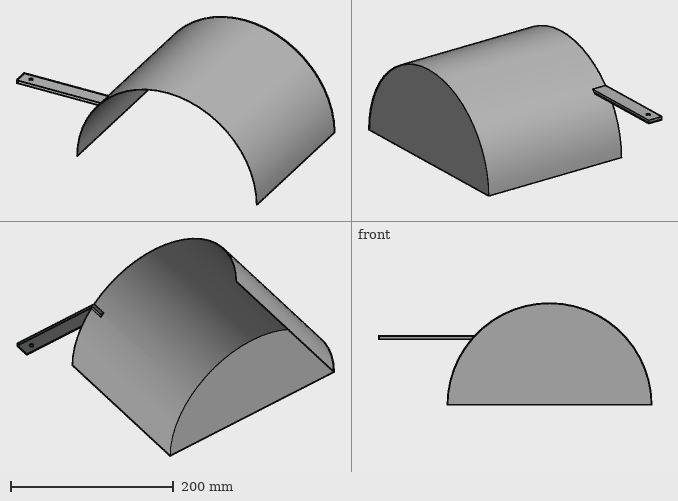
import cadquery as cq

outer_radius = 126.0
wall_thickness = 1.0
inner_radius = outer_radius - wall_thickness
cover_length = 202.0
axis_drop = 0.5

overall_width = 336.31
arm_tip_x = outer_radius - overall_width
arm_reach = -arm_tip_x
arm_width = 20.0
arm_height = 5.0
arm_bottom_z = 80.3
arm_wall = 1.0
hole_diameter = 5.0
hole_from_tip = 15.0


def half_cylinder(radius, length):
    """Cylinder around the cover axis, from Y = 0 towards +Y, kept only above the base plane."""
    cylinder = cq.Workplane("XZ", origin=(0, 0, -axis_drop)).circle(radius).extrude(-length)
    above_base = cq.Workplane("XY").box(2 * radius, length, radius, centered=(True, False, False))
    return cylinder.intersect(above_base)


def arm_bar():
    """Solid bar from the arm tip to the axis plane, with the mounting hole through it."""
    bar = (
        cq.Workplane("XY", origin=(arm_tip_x, 0, arm_bottom_z))
        .box(arm_reach, arm_width, arm_height, centered=False)
    )
    hole = (
        cq.Workplane("XY", origin=(arm_tip_x + hole_from_tip, arm_width / 2, arm_bottom_z))
        .circle(hole_diameter / 2)
        .extrude(arm_height)
    )
    return bar.cut(hole)


def arm_channel():
    """Hollow of the arm: leaves the tip, the +Y web and both flanges one arm wall thick."""
    return (
        cq.Workplane("XY", origin=(arm_tip_x + arm_wall, 0, arm_bottom_z + arm_wall))
        .box(arm_reach - arm_wall, arm_width - arm_wall, arm_height - 2 * arm_wall, centered=False)
    )


cover = half_cylinder(outer_radius, cover_length)
cavity = half_cylinder(inner_radius, cover_length - wall_thickness)
result = cover.union(arm_bar()).cut(cavity).cut(arm_channel())